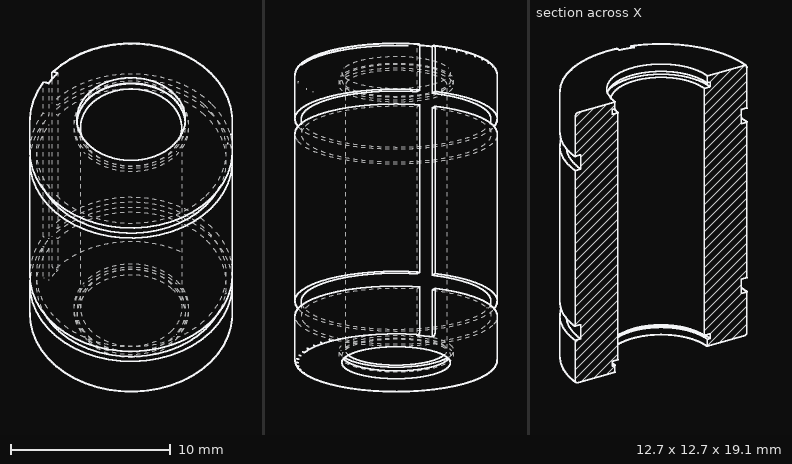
import cadquery as cq

length = 19.05
outer_diameter = 12.7
bore_diameter = 6.35
edge_radius = 0.21

groove_diameter = 11.9
groove_offset = 3.07
groove_width = 0.97

mouth_diameter = 6.8
undercut_diameter = 7.2
mouth_depth = 0.51
recess_depth = 0.82

slot_width = 1.0
slot_center_y = 1.09


def cylinder(diameter, bottom, height):
    """Cylinder on the Z axis, starting at the given height."""
    return cq.Workplane("XY").workplane(offset=bottom).circle(diameter / 2).extrude(height)


def mirrored_pair(body):
    """The body together with its mirror image at the other end of the bushing."""
    return body.union(body.mirror("XY", (0, 0, length / 2)))


def outside_ring(bottom, height):
    """Material between the groove floor diameter and the outside."""
    return cylinder(outer_diameter, bottom, height).cut(cylinder(groove_diameter, bottom, height))


sleeve = cylinder(outer_diameter, 0, length).edges("%CIRCLE").fillet(edge_radius)
sleeve = sleeve.cut(cylinder(bore_diameter, 0, length))

sleeve = sleeve.cut(mirrored_pair(outside_ring(groove_offset, groove_width)))

mouth = cylinder(mouth_diameter, 0, mouth_depth)
undercut = cylinder(undercut_diameter, mouth_depth, recess_depth - mouth_depth)
sleeve = sleeve.cut(mirrored_pair(mouth.union(undercut)))

slot_band = (
    cq.Workplane("XY")
    .center(-outer_diameter / 4, slot_center_y)
    .rect(outer_diameter / 2, slot_width)
    .extrude(length)
)
result = sleeve.cut(outside_ring(0, length).intersect(slot_band))